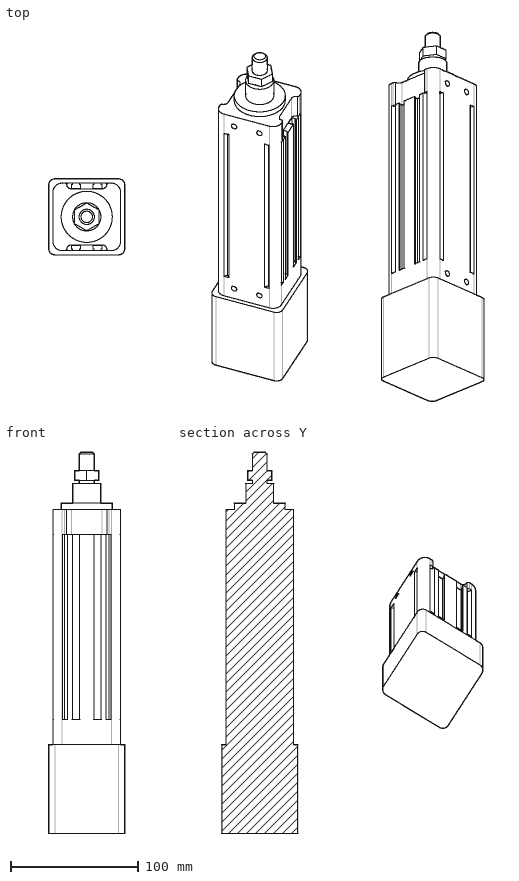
import cadquery as cq
import math

total_height = 300.0
base_side = 60.0
base_height = 70.0
base_corner_radius = 5.0
body_side = 53.0
body_top = 255.0
body_corner_radius = 7.2
flange_diameter = 40.2
flange_top = 259.8
collar_diameter = 22.2
collar_top = 275.5

rod_diameter = 12.0
rod_chamfer = 1.5
nut_across_flats = 19.0
nut_bottom = 277.8
nut_height = 7.5

end_margin = 19.8
relief_depth = 4.5
relief_floor_width = 24.3
relief_root_radius = 3.5
relief_lip_width = 1.8

slot_center = 8.5
slot_mouth_width = 5.7
slot_inner_width = 7.2
slot_mouth_depth = 1.2
slot_depth = 4.2

groove_inner_edge = 15.0
groove_root = 17.5
groove_outer_edge = 19.2
groove_depth = 2.7

hole_diameter = 4.5
hole_depth = 6.0
drill_tip_angle = 118
hole_spacing = 21.5
hole_end_distance = 10.0

body_half = body_side / 2
slot_bottom = base_height + end_margin
slot_top = body_top - end_margin


def square_block(side, corner_radius, bottom, top):
    block = cq.Workplane("XY").workplane(offset=bottom).rect(side, side).extrude(top - bottom)
    return block.edges("|Z").fillet(corner_radius)


def cylinder(diameter, bottom, top):
    return cq.Workplane("XY").workplane(offset=bottom).circle(diameter / 2).extrude(top - bottom)


def turned(shape, angle):
    return shape.rotate((0, 0, 0), (0, 0, 1), angle)


def make_rod_end():
    rod = cylinder(rod_diameter, collar_top, total_height).faces(">Z").chamfer(rod_chamfer)
    across_corners = nut_across_flats / math.cos(math.pi / 6)
    nut = cq.Workplane("XY").workplane(offset=nut_bottom).polygon(6, across_corners).extrude(nut_height)
    return rod.union(turned(nut, 30))


def make_relief():
    """Cutter for the back face: flat floor, hollow quarter-round roots and rounded lips."""
    floor_half = relief_floor_width / 2
    floor_y = body_half - relief_depth
    root_end = (floor_half + relief_root_radius, floor_y + relief_root_radius)
    root_middle = (
        floor_half + relief_root_radius * math.sin(math.pi / 4),
        floor_y + relief_root_radius * (1 - math.cos(math.pi / 4)),
    )
    mouth_half = root_end[0] + relief_lip_width
    lip_drop = relief_depth - relief_root_radius
    lip_radius = (relief_lip_width**2 + lip_drop**2) / (2 * lip_drop)
    half_turn = math.atan(lip_drop / relief_lip_width)
    lip_middle = (
        mouth_half - lip_radius * math.sin(half_turn),
        body_half - lip_radius * (1 - math.cos(half_turn)),
    )

    def mirrored(point):
        return (-point[0], point[1])

    return (
        cq.Workplane("XY")
        .workplane(offset=slot_top)
        .moveTo(-floor_half, floor_y)
        .lineTo(floor_half, floor_y)
        .threePointArc(root_middle, root_end)
        .threePointArc(lip_middle, (mouth_half, body_half))
        .lineTo(-mouth_half, body_half)
        .threePointArc(mirrored(lip_middle), mirrored(root_end))
        .threePointArc(mirrored(root_middle), (-floor_half, floor_y))
        .close()
        .extrude(body_top - slot_top)
    )


def make_t_slot(center_x):
    """Cutter for one T-slot in the back face."""
    length = slot_top - slot_bottom
    floor_y = body_half - slot_depth

    def box(width, depth):
        plane = cq.Workplane("XY", origin=(center_x, floor_y + depth / 2, slot_bottom))
        return plane.rect(width, depth).extrude(length)

    return box(slot_mouth_width, slot_depth).union(box(slot_inner_width, slot_depth - slot_mouth_depth))


def make_v_groove(side):
    """Cutter for one V-groove in the back face; side is 1 or -1."""
    return (
        cq.Workplane("XY")
        .workplane(offset=slot_bottom)
        .moveTo(side * groove_inner_edge, body_half)
        .lineTo(side * groove_root, body_half - groove_depth)
        .lineTo(side * groove_outer_edge, body_half)
        .close()
        .extrude(slot_top - slot_bottom)
    )


def make_hole(y, z):
    """Cutter for one blind hole with a drill-point end, drilled inward from the left face."""
    radius = hole_diameter / 2
    tip_depth = radius / math.tan(math.radians(drill_tip_angle / 2))
    outline = [(0, 0), (0, radius), (hole_depth, radius), (hole_depth + tip_depth, 0)]
    hole = cq.Workplane("XY").polyline(outline).close().revolve(360, (0, 0, 0), (1, 0, 0))
    return hole.translate((-body_half, y, z))


def make_holes():
    holes = cq.Workplane("XY")
    for y in (-hole_spacing / 2, hole_spacing / 2):
        for z in (base_height + hole_end_distance, body_top - hole_end_distance):
            holes = holes.add(make_hole(y, z))
    return holes.combine()


def make_body():
    body = square_block(body_side, body_corner_radius, base_height, body_top)
    grooves = make_v_groove(-1).union(make_v_groove(1))
    slots = make_t_slot(-slot_center).union(make_t_slot(slot_center))
    relief = make_relief()
    holes = make_holes()
    for angle in (0, 90, 180, 270):
        body = body.cut(turned(grooves, angle))
    for angle in (0, 180):
        body = body.cut(turned(relief, angle))
        body = body.cut(turned(slots, angle))
        body = body.cut(turned(holes, angle))
    return body


result = (
    square_block(base_side, base_corner_radius, 0, base_height)
    .union(make_body())
    .union(cylinder(flange_diameter, body_top, flange_top))
    .union(cylinder(collar_diameter, flange_top, collar_top))
    .union(make_rod_end())
)